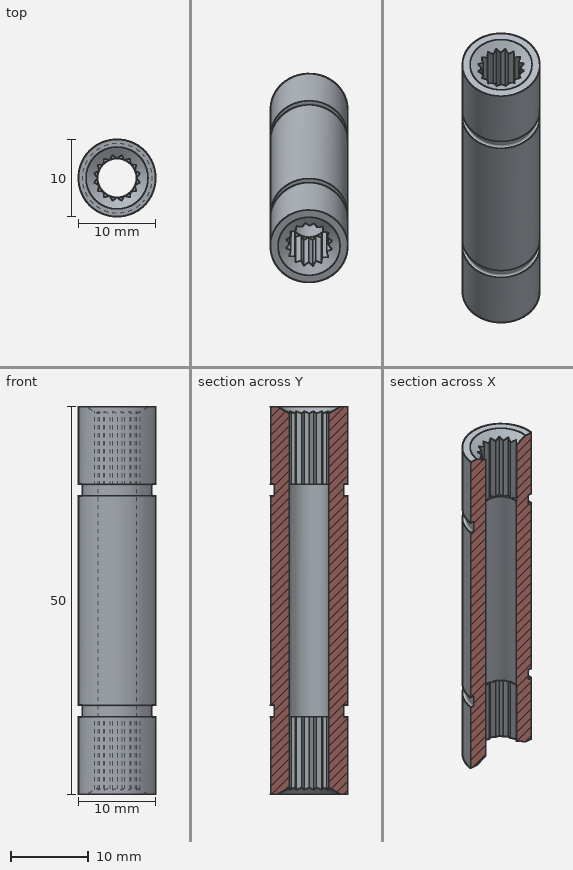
import cadquery as cq
import math

length = 50.0
outer_diameter = 10.0
bore_diameter = 5.0

groove_diameter = 9.0
groove_width = 1.5
groove_end_distance = 10.0
groove_root_fillet = 0.1

mouth_diameter = 8.0
mouth_angle = 120.0

notch_count = 16
notch_tip_radius = 3.0
serration_depth = 10.0

bore_radius = bore_diameter / 2


def make_sleeve():
    return cq.Workplane("XY").circle(outer_diameter / 2).circle(bore_radius).extrude(length)


def make_groove():
    """Ring that cuts the lower external groove, rounded along both root edges."""
    ring = (
        cq.Workplane("XY", origin=(0, 0, groove_end_distance))
        .circle(outer_diameter / 2)
        .extrude(groove_width)
    )
    core = (
        cq.Workplane("XY", origin=(0, 0, groove_end_distance))
        .circle(groove_diameter / 2)
        .extrude(groove_width)
    )
    root_edges = cq.selectors.RadiusNthSelector(0)
    return ring.cut(core).edges(root_edges).fillet(groove_root_fillet)


def make_mouth():
    """Cone that opens the lower end of the bore."""
    mouth_radius = mouth_diameter / 2
    cone_height = mouth_radius / math.tan(math.radians(mouth_angle / 2))
    return (
        cq.Workplane("XZ")
        .polyline([(0, 0), (mouth_radius, 0), (0, cone_height)])
        .close()
        .revolve(360, (0, 0), (0, 1))
    )


def make_serration():
    """Star-shaped prism whose points cut the notches around the lower end of the bore."""
    half_pitch = math.pi / notch_count
    outline = []
    for index in range(2 * notch_count):
        radius = notch_tip_radius if index % 2 else bore_radius
        angle = index * half_pitch
        outline.append((radius * math.cos(angle), radius * math.sin(angle)))
    return cq.Workplane("XY").polyline(outline).close().extrude(serration_depth)


def at_both_ends(lower_cutter):
    """The cutter for the lower end together with its mirror image at the upper end."""
    upper_cutter = lower_cutter.mirror("XY", (0, 0, length / 2))
    return [lower_cutter, upper_cutter]


result = make_sleeve()
for end_feature in (make_groove(), make_mouth(), make_serration()):
    for cutter in at_both_ends(end_feature):
        result = result.cut(cutter)